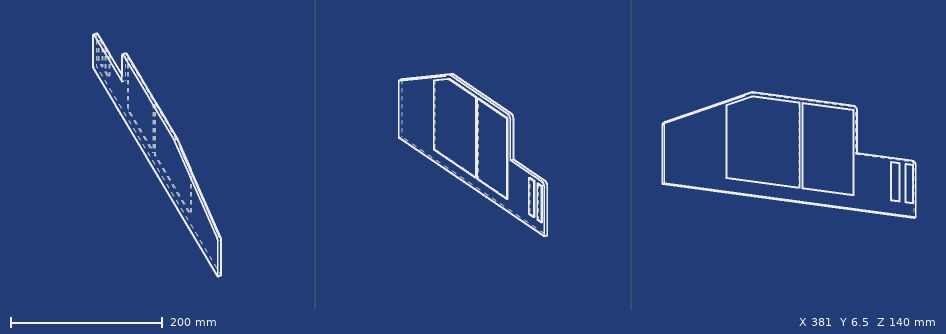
import cadquery as cq

length = 381.0
height = 140.0
step_x = 88.8
step_z = 76.2
slope_start_x = 247.5
slope_end_z = 82.5
corner_radius = 6.0

overall_thickness = 6.5
pad_height = 1.5
plate_thickness = overall_thickness - pad_height

bevel_start_x = 259.5
bevel_size = 1.5

pad_margin = 6.0
pad_bottom = 18.3
shoulder_pads = [(4.5, 16.0), (25.0, 37.7)]
main_pad_start = step_x + pad_margin
main_pad_end = 172.2
pad_gap = 4.5
sloped_pad_start = main_pad_end + pad_gap
sloped_pad_end = 287.0

shoulder_pad_top = step_z - pad_margin
main_pad_top = height - pad_margin
slope_fall = (height - slope_end_z) / (length - slope_start_x)


def extrude_outline(points, start_y, thickness):
    """Extrude an XZ outline toward +Y, starting at start_y."""
    plane = cq.Workplane("XZ", origin=(0, start_y, 0))
    return plane.polyline(points).close().extrude(-thickness)


def make_plate():
    """Stepped plate with a falling right edge and rounded corners; the start of the fall is sharp."""
    outline = [
        (0, 0),
        (length, 0),
        (length, slope_end_z),
        (slope_start_x, height),
        (step_x, height),
        (step_x, step_z),
        (0, step_z),
    ]
    rounded_corners = [
        (length, slope_end_z),
        (step_x, height),
        (0, step_z),
    ]
    plate = extrude_outline(outline, 0, plate_thickness)
    middle_y = plate_thickness / 2
    edges = cq.Workplane("XZ")
    for x, z in rounded_corners:
        corner = cq.selectors.NearestToPointSelector((x, middle_y, z))
        edges = edges.add(plate.edges("|Y").edges(corner).vals())
    return plate.newObject([plate.val().fillet(corner_radius, edges.vals())])


def make_bevel_cutter():
    """Triangular prism along the back of the falling edge, running out past the right end."""
    start_z = height - slope_fall * (bevel_start_x - slope_start_x)
    edge_plane = cq.Plane(
        origin=(bevel_start_x, plate_thickness, start_z),
        xDir=(0, 1, 0),
        normal=(1, 0, -slope_fall),
    )
    profile = [
        (-2 * bevel_size, bevel_size),
        (bevel_size, -2 * bevel_size),
        (bevel_size, bevel_size),
    ]
    return cq.Workplane(edge_plane).polyline(profile).close().extrude(length)


def make_pad(start_x, end_x, top_z):
    """Rectangular pad raised from the back face."""
    outline = [
        (start_x, pad_bottom),
        (end_x, pad_bottom),
        (end_x, top_z),
        (start_x, top_z),
    ]
    return extrude_outline(outline, plate_thickness, pad_height)


def make_sloped_pad():
    """Pad whose top follows the flat and falling edges of the plate."""
    end_top = main_pad_top - slope_fall * (sloped_pad_end - slope_start_x)
    outline = [
        (sloped_pad_start, pad_bottom),
        (sloped_pad_end, pad_bottom),
        (sloped_pad_end, end_top),
        (slope_start_x, main_pad_top),
        (sloped_pad_start, main_pad_top),
    ]
    return extrude_outline(outline, plate_thickness, pad_height)


result = make_plate().cut(make_bevel_cutter())
for pad_start, pad_end in shoulder_pads:
    result = result.union(make_pad(pad_start, pad_end, shoulder_pad_top))
result = result.union(make_pad(main_pad_start, main_pad_end, main_pad_top))
result = result.union(make_sloped_pad())